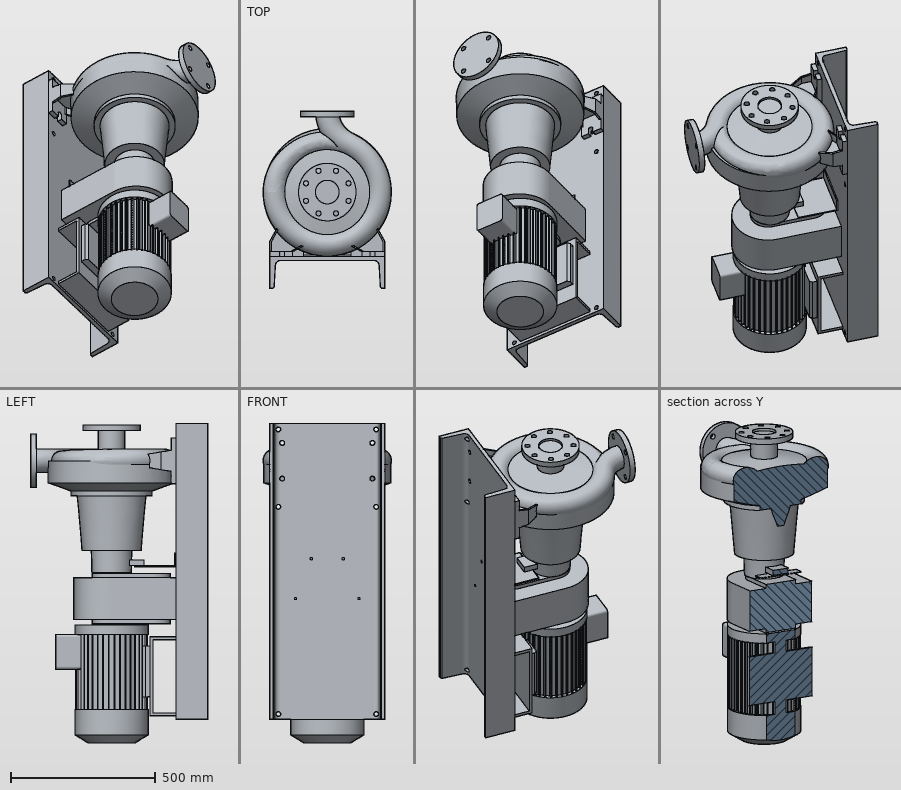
import cadquery as cq
import math


channel_top_z = 1110.0
channel_bottom_z = 82.0
channel_width = 400.0
channel_back_y = -223.0
channel_depth = 111.0
web_thickness = 14.0
leg_root_thickness = 21.0
leg_tip_thickness = 15.0
leg_root_fillet = 18.0
leg_tip_chamfer = 4.0
selection_margin = 1.0
frame_hole_x = 170.0
frame_hole_levels = (101.0, 820.0, 1089.0)
frame_hole_diameter = 15.0

volute_z = 980.0
tube_radius = 41.0
tube_path_radius = 182.0
casing_radius = 221.0
casing_bottom_z = 904.0
hub_radius = 141.0
hub_top_z = 875.0
hub_bottom_z = 858.0
frame_top_radius = 120.0
frame_bottom_radius = 103.0
frame_bottom_z = 668.0
bearing_top_radius = 71.0
bearing_bottom_radius = 69.0
bearing_bottom_z = 592.0
cover_rim_radius = 148.0
cover_rim_z = 1002.0
neck_radius = 47.0
neck_bottom_z = 1017.0

suction_face_z = 1105.0
suction_flange_radius = 100.0
flange_thickness = 20.0
suction_bolt_circle_radius = 80.0
discharge_face_y = 281.0
discharge_flange_radius = 93.0
discharge_bolt_circle_radius = 73.0
flange_hole_diameter = 18.0
suction_hole_count = 8
discharge_hole_count = 4
bore_radius = 41.0
bore_depth = 9.0

taper_end_angle = 70.0
taper_end_path_radius = 172.0
taper_end_tube_radius = 32.0
taper_steps = 3

foot_plate_thickness = 17.0
foot_half_height = 80.0
foot_inner_x = 120.0
foot_sheet_thickness = 7.0
foot_bend_y = -171.0
foot_top_x = 175.0
foot_top_y = -127.0
foot_inner_top_x = 81.0
foot_inner_top_y = -186.0
foot_sheet_base_half_height = 37.0
foot_sheet_top_half_height = 23.0
foot_slot_x = 157.0
foot_slot_offset = 62.0
foot_slot_width = 18.0

lug_half_width = 31.0
lug_outer_y = -113.0
lug_top_z = 636.0

bracket_half_width = 82.0
bracket_thickness = 4.0
bracket_sheet_top_z = 616.0
bracket_front_y = -80.0
bracket_flange_top_z = 659.0
bracket_bolt_x = 55.0
bracket_bolt_z = 640.0
bracket_bolt_diameter = 9.0

guard_axis_y = 7.0
guard_radius = 125.0
guard_top_z = 575.0
guard_bottom_z = 428.0
guard_plate_radius = 61.0
guard_plate_lower_y = -143.0
guard_plate_thickness = 14.0
guard_bolt_x = 110.0
guard_bolt_diameter = 8.0

motor_radius = 128.0
motor_top_z = 411.0
fin_top_z = 376.0
fin_bottom_z = 117.0
cowl_chamfer_z = 29.0
cowl_end_radius = 81.0
core_radius = 115.0
fin_tip_radius = 125.0
fin_thickness = 3.0
fin_pitch_angle = 9.0
fins_per_half_side = 5
box_half_width = 53.0
box_top_z = 377.0
box_bottom_z = 255.0
box_face_y = 194.0
box_edge_fillet = 10.0
motor_foot_half_width = 131.0
motor_foot_top_z = 337.0
motor_foot_bottom_z = 161.0
motor_foot_shoulder_y = -118.0
motor_foot_inner_y = -108.0
motor_foot_slope_width = 8.0
stand_half_width = 144.0
stand_face_y = -133.0
stand_top_z = 370.0
stand_bottom_z = 94.0
stand_thickness = 11.0


def block(x_range, y_range, z_range):
    """Axis-aligned box between the given limits."""
    lengths = [limits[1] - limits[0] for limits in (x_range, y_range, z_range)]
    return cq.Workplane("XY").box(*lengths, centered=False).translate((x_range[0], y_range[0], z_range[0]))


def turned(profile):
    """Solid of revolution about Z from (radius, z) points that start and end on the axis."""
    return cq.Workplane("XZ").polyline(profile).close().revolve(360, (0, 0, 0), (0, 1, 0))


def plan_prism(outline, z_range):
    """Prism along Z from a closed (x, y) outline."""
    height = z_range[1] - z_range[0]
    return cq.Workplane("XY", origin=(0, 0, z_range[0])).polyline(outline).close().extrude(height)


def holes_along_y(points, diameter, start_y, depth):
    """Round cutters that run from start_y towards -Y at the given (x, z) points."""
    return cq.Workplane("XZ", origin=(0, start_y, 0)).pushPoints(points).circle(diameter / 2).extrude(depth)


def mirrored_points(x, levels):
    """Points at +x and -x on every level."""
    return [(side * x, z) for side in (-1, 1) for z in levels]


def edges_in_strip(half_width, y):
    """Selector for the upright edges near the given y, out to half_width on both sides."""
    low = (-half_width - selection_margin, y - selection_margin, channel_bottom_z)
    high = (half_width + selection_margin, y + selection_margin, channel_top_z)
    return cq.selectors.BoxSelector(low, high)


def make_channel():
    """Channel with tapered legs and the bolt holes through its web."""
    half = channel_width / 2
    tip_y = channel_back_y - channel_depth
    web_y = channel_back_y - web_thickness
    root_x = half - leg_root_thickness
    tip_x = half - leg_tip_thickness
    outline = [
        (-half, channel_back_y), (half, channel_back_y), (half, tip_y), (tip_x, tip_y), (root_x, web_y),
        (-root_x, web_y), (-tip_x, tip_y), (-half, tip_y),
    ]
    channel = plan_prism(outline, (channel_bottom_z, channel_top_z))
    channel = channel.edges("|Z").edges(edges_in_strip(root_x, web_y)).fillet(leg_root_fillet)
    channel = channel.edges("|Z").edges(edges_in_strip(tip_x, tip_y)).chamfer(leg_tip_chamfer)

    foot_levels = (volute_z - foot_slot_offset, volute_z + foot_slot_offset)
    guard_mid_z = (guard_top_z + guard_bottom_z) / 2
    hole_groups = (
        (frame_hole_x, frame_hole_levels, frame_hole_diameter),
        (foot_slot_x, foot_levels, frame_hole_diameter),
        (bracket_bolt_x, (bracket_bolt_z,), bracket_bolt_diameter),
        (guard_bolt_x, (guard_mid_z,), guard_bolt_diameter),
    )
    for x, levels, diameter in hole_groups:
        points = mirrored_points(x, levels)
        channel = channel.cut(holes_along_y(points, diameter, channel_back_y, channel_depth))
    return channel


def pump_body():
    """Bearing frame, casing, cover and suction flange, all turned about the shaft."""
    return turned([
        (0, bearing_bottom_z),
        (bearing_bottom_radius, bearing_bottom_z),
        (bearing_top_radius, frame_bottom_z),
        (frame_bottom_radius, frame_bottom_z),
        (frame_top_radius, hub_bottom_z),
        (hub_radius, hub_bottom_z),
        (hub_radius, hub_top_z),
        (casing_radius, casing_bottom_z),
        (casing_radius, volute_z),
        (cover_rim_radius, volute_z),
        (cover_rim_radius, cover_rim_z),
        (neck_radius, neck_bottom_z),
        (neck_radius, suction_face_z - flange_thickness),
        (suction_flange_radius, suction_face_z - flange_thickness),
        (suction_flange_radius, suction_face_z),
        (0, suction_face_z),
    ])


def volute_tube():
    """Constant tube round the casing that swings back to leave along +Y at X = 0."""
    turn_angle = 2 * math.atan(tube_path_radius / discharge_face_y)
    reverse_radius = tube_path_radius * math.cos(turn_angle) / (1 - math.cos(turn_angle))
    turn = (tube_path_radius * math.cos(turn_angle), tube_path_radius * math.sin(turn_angle))
    middle_angle = (turn_angle - math.pi) / 2
    middle = (tube_path_radius * math.cos(middle_angle), tube_path_radius * math.sin(middle_angle))
    reverse_middle = (
        reverse_radius * (1 - math.cos(turn_angle / 2)),
        discharge_face_y - reverse_radius * math.sin(turn_angle / 2),
    )
    path = (
        cq.Workplane("XY", origin=(0, 0, volute_z))
        .moveTo(-tube_path_radius, 0)
        .threePointArc(middle, turn)
        .threePointArc(reverse_middle, (0, discharge_face_y))
    )
    section = cq.Workplane("XZ", origin=(-tube_path_radius, 0, volute_z)).circle(tube_radius)
    return section.sweep(path)


def volute_taper():
    """Narrowing start of the volute, from -X over +Y to under the discharge pipe."""
    sections = []
    for step in range(taper_steps + 1):
        share = step / taper_steps
        angle = 180 - share * (180 - taper_end_angle)
        path_radius = tube_path_radius + share * (taper_end_path_radius - tube_path_radius)
        radius = tube_radius + share * (taper_end_tube_radius - tube_radius)
        direction = (math.cos(math.radians(angle)), math.sin(math.radians(angle)), 0)
        tangent = cq.Vector(direction[1], -direction[0], 0)
        centre = cq.Vector(path_radius * direction[0], path_radius * direction[1], volute_z)
        sections.append(cq.Wire.makeCircle(radius, centre, tangent))
    return cq.Workplane(cq.Solid.makeLoft(sections))


def flange_holes(plane, bolt_circle_radius, hole_count):
    """Bolt hole cutters, straddling the flange's centre lines."""
    return (
        plane.polarArray(bolt_circle_radius, 180 / hole_count, 360, hole_count)
        .circle(flange_hole_diameter / 2)
        .extrude(flange_thickness)
    )


def foot_sheet(outline):
    """Sheet of the foot with the given (x, y) outline, tapering in Z away from the base."""
    base_y = channel_back_y + foot_plate_thickness
    sheet = plan_prism(outline, (volute_z - foot_half_height, volute_z + foot_half_height))
    taper = (
        cq.Workplane("YZ", origin=(-casing_radius, 0, 0))
        .polyline([
            (base_y, volute_z - foot_sheet_base_half_height),
            (foot_top_y, volute_z - foot_sheet_top_half_height),
            (foot_top_y, volute_z + foot_sheet_top_half_height),
            (base_y, volute_z + foot_sheet_base_half_height),
        ])
        .close()
        .extrude(2 * casing_radius)
    )
    return sheet.intersect(taper)


def pump_foot():
    """The -X foot: slotted plate, bent outer sheet, inner sheet and the rib between them."""
    outer_x = channel_width / 2
    base_y = channel_back_y + foot_plate_thickness
    thickness = foot_sheet_thickness
    bottom_z = volute_z - foot_half_height
    top_z = volute_z + foot_half_height
    plate = block((-outer_x, -foot_inner_x), (channel_back_y, base_y), (bottom_z, top_z))
    for side in (-1, 1):
        slot_z = volute_z + side * foot_slot_offset
        slot_end = holes_along_y([(-foot_slot_x, slot_z)], foot_slot_width, base_y, foot_plate_thickness)
        plate = plate.cut(slot_end)
        slot_limits = sorted((slot_z, volute_z + side * foot_half_height))
        slot_x_limits = (-foot_slot_x - foot_slot_width / 2, -foot_slot_x + foot_slot_width / 2)
        plate = plate.cut(block(slot_x_limits, (channel_back_y, base_y), slot_limits))

    outer = foot_sheet([
        (-outer_x, base_y), (-outer_x, foot_bend_y), (-foot_top_x, foot_top_y),
        (-foot_top_x + thickness, foot_top_y), (-outer_x + thickness, foot_bend_y),
        (-outer_x + thickness, base_y),
    ])
    inner = foot_sheet([
        (-foot_inner_x - thickness, base_y), (-foot_inner_top_x, foot_inner_top_y + thickness),
        (-foot_inner_top_x, foot_inner_top_y), (-foot_inner_x, base_y),
    ])
    rib = plan_prism(
        [
            (-outer_x + thickness, base_y), (-outer_x + thickness, foot_bend_y),
            (-foot_top_x + thickness, foot_top_y), (-foot_inner_top_x, foot_inner_top_y),
            (-foot_inner_x, base_y),
        ],
        (volute_z - thickness / 2, volute_z + thickness / 2),
    )
    return plate.union(outer).union(inner).union(rib)


def make_pump():
    """Pump with its volute, flanges, two feet and the lug that rests on the bearing bracket."""
    foot = pump_foot()
    lug = block((-lug_half_width, lug_half_width), (lug_outer_y, 0), (bracket_sheet_top_z, lug_top_z))
    discharge_plane = cq.Workplane("XZ", origin=(0, discharge_face_y, volute_z))
    discharge_flange = discharge_plane.circle(discharge_flange_radius).extrude(flange_thickness)

    pump = pump_body().union(volute_tube()).union(volute_taper()).union(discharge_flange)
    pump = pump.union(foot).union(foot.mirror("YZ")).union(lug)

    suction_plane = cq.Workplane("XY", origin=(0, 0, suction_face_z - flange_thickness))
    pump = pump.cut(flange_holes(suction_plane, suction_bolt_circle_radius, suction_hole_count))
    pump = pump.cut(flange_holes(discharge_plane, discharge_bolt_circle_radius, discharge_hole_count))
    bore = cq.Workplane("XY", origin=(0, 0, suction_face_z)).circle(bore_radius).extrude(-bore_depth)
    return pump.cut(bore)


def make_bearing_bracket():
    """Thin L-shaped sheet between the pump lug and the channel."""
    x_range = (-bracket_half_width, bracket_half_width)
    bottom_z = bracket_sheet_top_z - bracket_thickness
    sheet = block(x_range, (channel_back_y, bracket_front_y), (bottom_z, bracket_sheet_top_z))
    flange_y = (channel_back_y, channel_back_y + bracket_thickness)
    return sheet.union(block(x_range, flange_y, (bottom_z, bracket_flange_top_z)))


def make_belt_guard():
    """Round-headed guard with a raised slot-shaped plate on each end."""
    height = guard_top_z - guard_bottom_z
    head = cq.Workplane("XY", origin=(0, guard_axis_y, guard_bottom_z)).circle(guard_radius).extrude(height)
    skirt_y = (channel_back_y, guard_axis_y)
    skirt = block((-guard_radius, guard_radius), skirt_y, (guard_bottom_z, guard_top_z))
    spread = guard_axis_y - guard_plate_lower_y
    end_plates = (
        cq.Workplane("XY", origin=(0, guard_axis_y - spread / 2, guard_bottom_z - guard_plate_thickness))
        .slot2D(spread + 2 * guard_plate_radius, 2 * guard_plate_radius, 90)
        .extrude(height + 2 * guard_plate_thickness)
    )
    return head.union(skirt).union(end_plates)


def motor_fins():
    """Straight fins that stand square on the four sides of the motor."""
    length = fin_top_z - fin_bottom_z
    fins = cq.Workplane("XY", origin=(0, 0, fin_bottom_z)).circle(core_radius).extrude(length)
    for index in range(-fins_per_half_side, fins_per_half_side):
        angle = math.radians((index + 0.5) * fin_pitch_angle)
        offset = fin_tip_radius * math.sin(angle)
        half_reach = fin_tip_radius * math.cos(angle)
        fin_edges = (offset - fin_thickness / 2, offset + fin_thickness / 2)
        along_x = block((-half_reach, half_reach), fin_edges, (fin_bottom_z, fin_top_z))
        along_y = block(fin_edges, (-half_reach, half_reach), (fin_bottom_z, fin_top_z))
        fins = fins.union(along_x).union(along_y)
    return fins


def terminal_box():
    """Box on the +Y side of the motor, rounded along Y."""
    box = block((-box_half_width, box_half_width), (0, box_face_y), (box_bottom_z, box_top_z))
    return box.edges("|Y").fillet(box_edge_fillet)


def motor_foot():
    """Pad with sloped shoulders under the fins."""
    inner_x = motor_foot_half_width - motor_foot_slope_width
    outline = [
        (-motor_foot_half_width, stand_face_y), (-motor_foot_half_width, motor_foot_shoulder_y),
        (-inner_x, motor_foot_inner_y), (inner_x, motor_foot_inner_y),
        (motor_foot_half_width, motor_foot_shoulder_y), (motor_foot_half_width, stand_face_y),
    ]
    return plan_prism(outline, (motor_foot_bottom_z, motor_foot_top_z))


def motor_stand():
    """C-shaped stand between the motor foot and the channel."""
    x_range = (-stand_half_width, stand_half_width)
    outside = block(x_range, (channel_back_y, stand_face_y), (stand_bottom_z, stand_top_z))
    inside_z = (stand_bottom_z + stand_thickness, stand_top_z - stand_thickness)
    return outside.cut(block(x_range, (channel_back_y, stand_face_y - stand_thickness), inside_z))


def make_motor():
    """Finned motor with end shield, fan cowl, terminal box, foot and stand."""
    end_shield = turned([
        (0, fin_top_z), (motor_radius, fin_top_z), (motor_radius, motor_top_z), (0, motor_top_z),
    ])
    fan_cowl = turned([
        (0, 0), (cowl_end_radius, 0), (motor_radius, cowl_chamfer_z), (motor_radius, fin_bottom_z),
        (0, fin_bottom_z),
    ])
    motor = motor_fins().union(end_shield).union(fan_cowl).union(terminal_box())
    return motor.union(motor_foot()).union(motor_stand())


channel = make_channel()
pump = make_pump()
bearing_bracket = make_bearing_bracket()
belt_guard = make_belt_guard()
motor = make_motor()

result = cq.Compound.makeCompound([
    channel.val(), pump.val(), bearing_bracket.val(), belt_guard.val(), motor.val(),
])